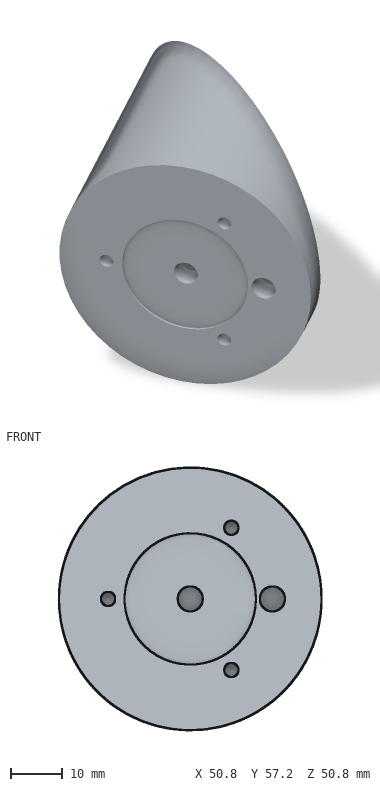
import cadquery as cq
import math

diameter = 50.8
radius = diameter / 2
short_side_length = 6.35
long_side_length = short_side_length + diameter

recess_diameter = diameter / 2
recess_depth = 0.5

hole_circle_radius = 15.875
flat_hole_diameter = 4.85
flat_hole_depth = 5.0

drill_diameter = 2.75
drill_depth = 5.0
drill_tip_angle = 118
drill_angles = (60, 180, 300)


def bore(x, z, bore_diameter, depth):
    """Cylinder running from the front face into the body (+Y)."""
    return (
        cq.Workplane("XZ")
        .center(x, z)
        .circle(bore_diameter / 2)
        .extrude(-depth)
    )


def make_body():
    """Extrude the wedge outline in Z and keep what lies inside the cylinder."""
    wedge = (
        cq.Workplane("XY")
        .polyline([
            (-radius, 0),
            (radius, 0),
            (radius, short_side_length),
            (-radius, long_side_length),
        ])
        .close()
        .extrude(radius, both=True)
    )
    return wedge.intersect(bore(0, 0, diameter, long_side_length))


def drilled_hole(x, z):
    """Cylinder of the drill depth ending in a conical drill tip."""
    drill_radius = drill_diameter / 2
    tip_length = drill_radius / math.tan(math.radians(drill_tip_angle / 2))
    tip = cq.Solid.makeCone(
        drill_radius, 0, tip_length,
        pnt=cq.Vector(x, drill_depth, z),
        dir=cq.Vector(0, 1, 0),
    )
    return bore(x, z, drill_diameter, drill_depth).union(cq.Workplane(tip))


def cut_recess(body):
    """Sink the shallow recess into the front face."""
    return body.cut(bore(0, 0, recess_diameter, recess_depth))


def cut_flat_holes(body):
    """Sink the central and the offset flat-bottomed hole."""
    for hole_x in (0, hole_circle_radius):
        body = body.cut(bore(hole_x, 0, flat_hole_diameter, flat_hole_depth))
    return body


def cut_drilled_holes(body):
    """Sink the three drilled holes around the hole circle."""
    for angle in drill_angles:
        drill_x = hole_circle_radius * math.cos(math.radians(angle))
        drill_z = hole_circle_radius * math.sin(math.radians(angle))
        body = body.cut(drilled_hole(drill_x, drill_z))
    return body


result = make_body()
result = cut_recess(result)
result = cut_flat_holes(result)
result = cut_drilled_holes(result)